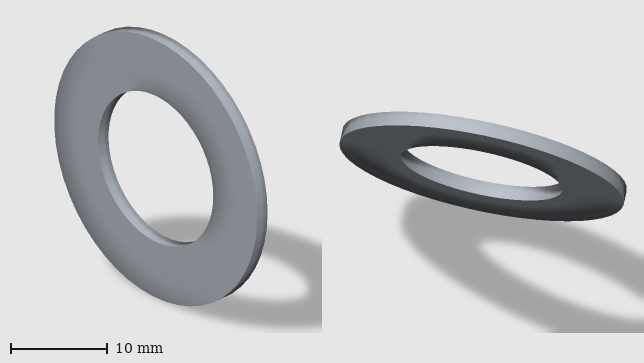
import cadquery as cq

outer_diameter = 30.0
hole_diameter = 17.0
thickness = 1.5

result = (
    cq.Workplane("XZ")
    .circle(outer_diameter / 2)
    .circle(hole_diameter / 2)
    .extrude(thickness)
)